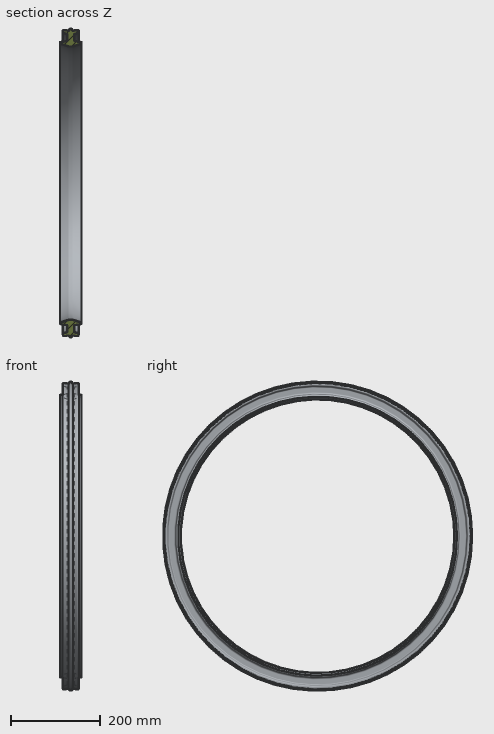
import cadquery as cq
import math


WIDTH = 48.95
OUTER_RADIUS = 344.99
HALF_WIDTH = WIDTH / 2

BORE_RADIUS = 305.0
BORE_HALF_WIDTH = 4.3

FLANGE_RADIUS = 315.6
FLANGE_TOP_ROUND = 2.6
FLANGE_TOP_ANGLE = 82
FLANGE_BORE_ROUND = 1.5
FLANGE_BORE_CENTER_RADIUS = 312.4
FLANGE_BORE_ANGLE = -55

WEB_HALF_WIDTH = 8.0
FLANGE_FILLET = 3.5
FLANGE_FILLET_CENTER_RADIUS = 320.6
FLANGE_FILLET_END_ANGLE = -100
RIM_FILLET = 2.0
RIM_FILLET_CENTER_RADIUS = 331.0
RIM_FILLET_END_ANGLE = 105

LOBE_RADIUS = 342.4
LOBE_HALF_WIDTH = 18.0
LOBE_TOP_ROUND = 3.8
LOBE_UNDERSIDE_ROUND = 2.4
LOBE_UNDERSIDE_CENTER_RADIUS = 337.4
LOBE_UNDERSIDE_ANGLE = -75

RIB_ROUND = 3.3
RIB_FLANK_ANGLE = 25
VALLEY_HALF_WIDTH = 4.8
VALLEY_RADIUS = 340.7


def arc_points(center, radius, start_angle, end_angle):
    """Start, middle and end points of an arc; angles in degrees from the axial direction."""
    angles = (start_angle, (start_angle + end_angle) / 2, end_angle)
    return [
        (
            center[0] + radius * math.cos(math.radians(angle)),
            center[1] + radius * math.sin(math.radians(angle)),
        )
        for angle in angles
    ]


def side_rounds():
    """Arcs of the +X side, from the rim inward to the bore."""
    lobe_top_center = (LOBE_HALF_WIDTH - LOBE_TOP_ROUND, LOBE_RADIUS - LOBE_TOP_ROUND)
    underside_center = (LOBE_HALF_WIDTH - LOBE_UNDERSIDE_ROUND, LOBE_UNDERSIDE_CENTER_RADIUS)
    rim_fillet_center = (WEB_HALF_WIDTH + RIM_FILLET, RIM_FILLET_CENTER_RADIUS)
    flange_fillet_center = (WEB_HALF_WIDTH + FLANGE_FILLET, FLANGE_FILLET_CENTER_RADIUS)
    flange_top_center = (HALF_WIDTH - FLANGE_TOP_ROUND, FLANGE_RADIUS - FLANGE_TOP_ROUND)
    flange_bore_center = (HALF_WIDTH - FLANGE_BORE_ROUND, FLANGE_BORE_CENTER_RADIUS)
    return [
        arc_points(lobe_top_center, LOBE_TOP_ROUND, 90, 0),
        arc_points(underside_center, LOBE_UNDERSIDE_ROUND, 0, LOBE_UNDERSIDE_ANGLE),
        arc_points(rim_fillet_center, RIM_FILLET, RIM_FILLET_END_ANGLE, 180),
        arc_points(flange_fillet_center, FLANGE_FILLET, -180, FLANGE_FILLET_END_ANGLE),
        arc_points(flange_top_center, FLANGE_TOP_ROUND, FLANGE_TOP_ANGLE, 0),
        arc_points(flange_bore_center, FLANGE_BORE_ROUND, 0, FLANGE_BORE_ANGLE),
    ]


def opposite(point):
    """The same point on the other side of X = 0."""
    return (-point[0], point[1])


def cross_section():
    """Closed outline of the whole cross-section."""
    rib_center = (0, OUTER_RADIUS - RIB_ROUND)
    rib_crest = arc_points(rib_center, RIB_ROUND, 180 - RIB_FLANK_ANGLE, RIB_FLANK_ANGLE)
    valley_corner = (VALLEY_HALF_WIDTH, VALLEY_RADIUS)
    bore_corner = (BORE_HALF_WIDTH, BORE_RADIUS)
    rounds = side_rounds()

    outline = (
        cq.Workplane("XY")
        .moveTo(*rib_crest[0])
        .threePointArc(rib_crest[1], rib_crest[2])
        .lineTo(*valley_corner)
    )
    for start, middle, end in rounds:
        outline = outline.lineTo(*start).threePointArc(middle, end)
    outline = outline.lineTo(*bore_corner).lineTo(*opposite(bore_corner))
    for start, middle, end in reversed(rounds):
        outline = outline.lineTo(*opposite(end)).threePointArc(opposite(middle), opposite(start))
    return outline.lineTo(*opposite(valley_corner)).close()


result = cross_section().revolve(360, (0, 0, 0), (1, 0, 0))